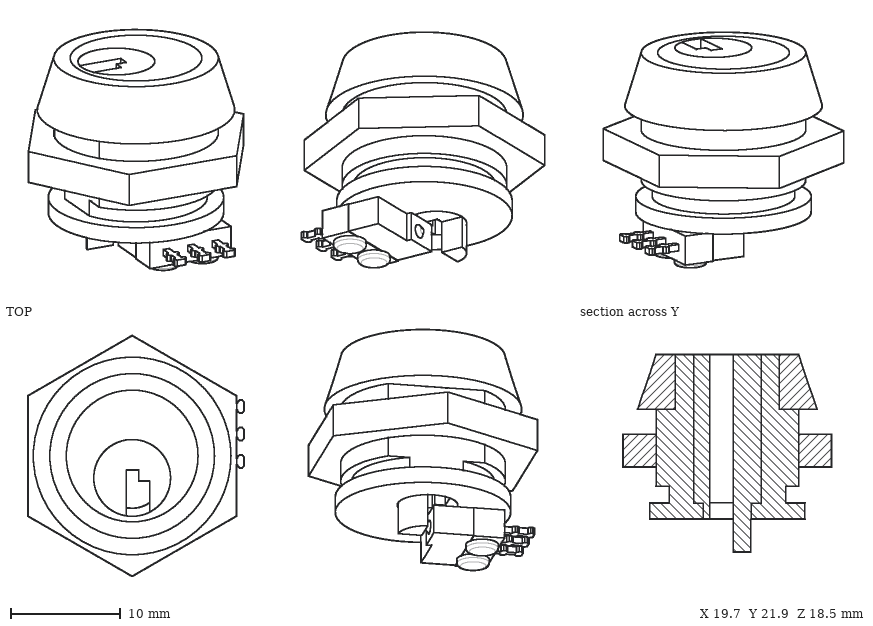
import cadquery as cq
import math


COLLAR_HEIGHT = 5.0
COLLAR_BASE_RADIUS = 9.0
COLLAR_TOP_RADIUS = 7.5
HEAD_RADIUS = 6.0

BARREL_RADIUS = 7.5
BARREL_LENGTH = 7.0
NECK_RADIUS = 6.5
NECK_LENGTH = 1.5
FLANGE_RADIUS = 8.0
FLANGE_THICKNESS = 1.5
FLAT_Y = -6.0
FLANGE_TOP = -(BARREL_LENGTH + NECK_LENGTH)
FLANGE_BOTTOM = FLANGE_TOP - FLANGE_THICKNESS

NUT_ACROSS_FLATS = 19.0
NUT_THICKNESS = 3.0
NUT_TOP = -2.25

PLUG_Y = -2.0
PLUG_RADIUS = 3.5
TAIL_RADIUS = 2.75
TAIL_LENGTH = 3.0
TAIL_SIDE_Y = -2.05
KEYWAY_LEFT = -0.53
KEYWAY_STEP_X = 0.6
KEYWAY_RIGHT = 1.6
KEYWAY_TOP_Y = -1.3
KEYWAY_STEP_Y = -2.3

SWITCH_Y = 1.97
BASE_LENGTH = 8.26
BASE_LEFT = 4.28
BASE_RIGHT = 7.13
BASE_HEIGHT = 2.72
COVER_INSET = 0.06
COVER_LEFT = 0.58
COVER_STEP_Y = 1.3
COVER_STEP_DEPTH = 0.5

PLUNGER_Y = 0.0
PLUNGER_Z = FLANGE_BOTTOM - 1.39
PLUNGER_BASE_RADIUS = 0.63
PLUNGER_TIP_RADIUS = 0.28
PLUNGER_CONE_LENGTH = 0.32
PLUNGER_DOME_HEIGHT = 0.1

TERMINAL_YS = (-0.5, 2.0, 4.5)
TERMINAL_TIP = 10.2
TERMINAL_Z = PLUNGER_Z
TERMINAL_THICKNESS = 0.6
STRIP_WIDTH = 0.6
CROSSBAR_LENGTH = 1.2
CROSSBAR_WIDTH = 0.62
CROSSBAR_CHAMFER = 0.2
CROSSBAR_PITCH = 1.45

SCREW_X = 5.5
SCREW_YS = (0.0, 4.0)
SCREW_RADIUS = 1.48
SCREW_HEIGHT = 0.76
SCREW_RIM_HEIGHT = 0.33
SCREW_CORNER_RADIUS = 0.3


def cylinder(radius, bottom, top, y=0.0):
    """Upright cylinder between two heights, with its axis in the YZ plane."""
    return cq.Workplane("XY", origin=(0, y, bottom)).circle(radius).extrude(top - bottom)


def block(x_range, y_range, z_range):
    """Box between the given limits."""
    (x0, x1), (y0, y1), (z0, z1) = x_range, y_range, z_range
    return cq.Workplane("XY").box(x1 - x0, y1 - y0, z1 - z0, centered=False).translate((x0, y0, z0))


def make_collar():
    profile = [
        (HEAD_RADIUS, 0),
        (COLLAR_BASE_RADIUS, 0),
        (COLLAR_TOP_RADIUS, COLLAR_HEIGHT),
        (HEAD_RADIUS, COLLAR_HEIGHT),
    ]
    return cq.Workplane("XZ").polyline(profile).close().revolve(360, (0, 0), (0, 1))


def make_barrel():
    body = cylinder(BARREL_RADIUS, -BARREL_LENGTH, 0)
    body = body.union(cylinder(NECK_RADIUS, FLANGE_TOP, -BARREL_LENGTH))
    flat = block((-BARREL_RADIUS, BARREL_RADIUS), (-BARREL_RADIUS, FLAT_Y), (FLANGE_TOP, 0))
    body = body.cut(flat)
    body = body.union(cylinder(HEAD_RADIUS, 0, COLLAR_HEIGHT))
    body = body.union(cylinder(FLANGE_RADIUS, FLANGE_BOTTOM, FLANGE_TOP))
    body = body.cut(cylinder(PLUG_RADIUS, FLANGE_TOP, COLLAR_HEIGHT, PLUG_Y))
    return body.cut(cylinder(TAIL_RADIUS, FLANGE_BOTTOM, FLANGE_TOP, PLUG_Y))


def make_nut():
    across_corners = NUT_ACROSS_FLATS / math.cos(math.pi / 6)
    nut = cq.Workplane("XY").polygon(6, across_corners).circle(BARREL_RADIUS).extrude(-NUT_THICKNESS)
    return nut.rotate((0, 0, 0), (0, 0, 1), 30).translate((0, 0, NUT_TOP))


def make_plug():
    plug = cylinder(PLUG_RADIUS, FLANGE_TOP, COLLAR_HEIGHT, PLUG_Y)
    plug = plug.union(cylinder(TAIL_RADIUS, FLANGE_BOTTOM, FLANGE_TOP, PLUG_Y))
    open_y = PLUG_Y - PLUG_RADIUS
    plug_heights = (FLANGE_BOTTOM, COLLAR_HEIGHT)
    plug = plug.cut(block((KEYWAY_LEFT, KEYWAY_RIGHT), (open_y, KEYWAY_STEP_Y), plug_heights))
    plug = plug.cut(block((KEYWAY_LEFT, KEYWAY_STEP_X), (KEYWAY_STEP_Y, KEYWAY_TOP_Y), plug_heights))
    tail_heights = (FLANGE_BOTTOM - TAIL_LENGTH, FLANGE_BOTTOM)
    corner = block((-TAIL_RADIUS, KEYWAY_LEFT), (PLUG_Y - TAIL_RADIUS, TAIL_SIDE_Y), tail_heights)
    return plug.union(cylinder(TAIL_RADIUS, *tail_heights, PLUG_Y).intersect(corner))


def make_terminal(y):
    strip_length = TERMINAL_TIP - CROSSBAR_WIDTH / 2 - BASE_RIGHT
    plane = cq.Workplane("XY", origin=(BASE_RIGHT, y, TERMINAL_Z))
    terminal = plane.center(strip_length / 2, 0).box(strip_length, STRIP_WIDTH, TERMINAL_THICKNESS)
    for offset in (strip_length - CROSSBAR_PITCH, strip_length):
        crossbar = plane.center(offset, 0).box(CROSSBAR_WIDTH, CROSSBAR_LENGTH, TERMINAL_THICKNESS)
        terminal = terminal.union(crossbar.edges("|Z").chamfer(CROSSBAR_CHAMFER))
    return terminal


def make_plunger():
    dome_base_x = COVER_LEFT - PLUNGER_CONE_LENGTH
    tip_x = dome_base_x - PLUNGER_DOME_HEIGHT
    dome_radius = (PLUNGER_TIP_RADIUS**2 + PLUNGER_DOME_HEIGHT**2) / (2 * PLUNGER_DOME_HEIGHT)
    plane = cq.Workplane("XZ", origin=(0, PLUNGER_Y, PLUNGER_Z))
    outline = plane.moveTo(COVER_LEFT, 0).lineTo(COVER_LEFT, PLUNGER_BASE_RADIUS)
    outline = outline.lineTo(dome_base_x, PLUNGER_TIP_RADIUS)
    outline = outline.radiusArc((tip_x, 0), -dome_radius)
    return outline.close().revolve(360, (0, 0), (1, 0))


def make_switch():
    front = SWITCH_Y - BASE_LENGTH / 2
    back = SWITCH_Y + BASE_LENGTH / 2
    bottom = FLANGE_BOTTOM - BASE_HEIGHT
    switch = block((BASE_LEFT, BASE_RIGHT), (front, back), (bottom, FLANGE_BOTTOM))
    cover_heights = (bottom + COVER_INSET, FLANGE_BOTTOM)
    nose = block((COVER_LEFT, BASE_LEFT), (front + COVER_INSET, COVER_STEP_Y), cover_heights)
    shoulder_left = COVER_LEFT + COVER_STEP_DEPTH
    shoulder = block((shoulder_left, BASE_LEFT), (COVER_STEP_Y, back - COVER_INSET), cover_heights)
    switch = switch.union(nose).union(shoulder).union(make_plunger())
    for terminal_y in TERMINAL_YS:
        switch = switch.union(make_terminal(terminal_y))
    return switch


def make_screw(y):
    """Screw head under the switch base: straight rim, round corner and shallow domed face."""
    face_radius = SCREW_RADIUS - SCREW_CORNER_RADIUS
    face_z = -SCREW_RIM_HEIGHT - SCREW_CORNER_RADIUS
    dome_height = SCREW_HEIGHT + face_z
    dome_radius = (face_radius**2 + dome_height**2) / (2 * dome_height)
    plane = cq.Workplane("XZ", origin=(SCREW_X, y, FLANGE_BOTTOM - BASE_HEIGHT))
    outline = plane.lineTo(SCREW_RADIUS, 0).lineTo(SCREW_RADIUS, -SCREW_RIM_HEIGHT)
    outline = outline.radiusArc((face_radius, face_z), SCREW_CORNER_RADIUS)
    outline = outline.radiusArc((0, -SCREW_HEIGHT), dome_radius)
    return outline.close().revolve(360, (0, 0), (0, 1))


collar = make_collar()
barrel = make_barrel()
nut = make_nut()
plug = make_plug()
switch = make_switch()
screws = [make_screw(y) for y in SCREW_YS]

result = cq.Compound.makeCompound([
    collar.val(),
    barrel.val(),
    nut.val(),
    plug.val(),
    switch.val(),
    *[screw.val() for screw in screws],
])